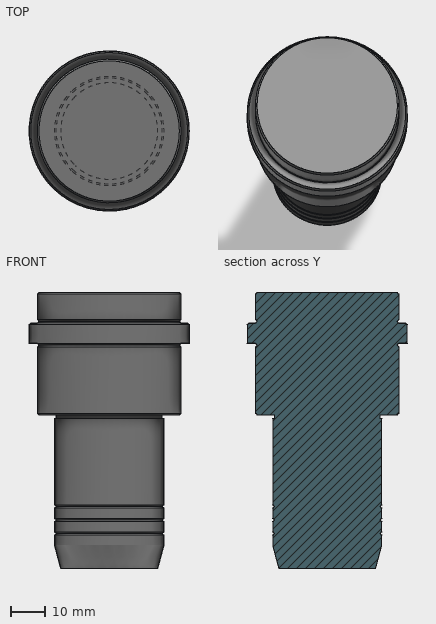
import cadquery as cq
import math

length = 81.0
flange_radius = 23.5
body_radius = 21.1
shank_radius = 16.0

head_height = 8.0
groove_width = 1.0
flange_height = 6.0
body_height = 20.0
neck_height = 1.0
land_height = 3.0
taper_height = 6.8

edge_chamfer = 0.5
neck_depth = 0.5
taper_angle = math.radians(15)
ring_groove_count = 3

top = length / 2
bottom = -length / 2
flange_top = top - head_height - groove_width
flange_bottom = flange_top - flange_height
body_bottom = flange_bottom - groove_width - body_height
neck_bottom = body_bottom - neck_height
taper_top = bottom + taper_height


def cylinder(radius, low, high):
    return cq.Workplane("XY").workplane(offset=low).circle(radius).extrude(high - low)


def v_groove(radius, low):
    """Ring with a symmetric 90 degree V section, cut into a cylinder of the given radius."""
    middle = low + groove_width / 2
    section = [
        (radius, low),
        (radius - groove_width / 2, middle),
        (radius, low + groove_width),
    ]
    return cq.Workplane("XZ").polyline(section).close().revolve(360, (0, 0), (0, 1))


body = cylinder(body_radius, body_bottom, top).edges().chamfer(edge_chamfer)

flange = cylinder(flange_radius, flange_bottom, flange_top).faces(">Z").edges().chamfer(edge_chamfer)

neck = cylinder(shank_radius - neck_depth, neck_bottom, body_bottom)

shank = cylinder(shank_radius, taper_top, neck_bottom)
tip_radius = shank_radius - taper_height * math.tan(taper_angle)
tip_section = [(0, bottom), (tip_radius, bottom), (shank_radius, taper_top), (0, taper_top)]
tip = cq.Workplane("XZ").polyline(tip_section).close().revolve(360, (0, 0), (0, 1))

body = body.cut(v_groove(body_radius, flange_top))
body = body.cut(v_groove(body_radius, flange_bottom - groove_width))

for index in range(ring_groove_count):
    groove_bottom = taper_top + land_height + index * (land_height + groove_width)
    shank = shank.cut(v_groove(shank_radius, groove_bottom))

result = body.union(flange).union(neck).union(shank).union(tip)